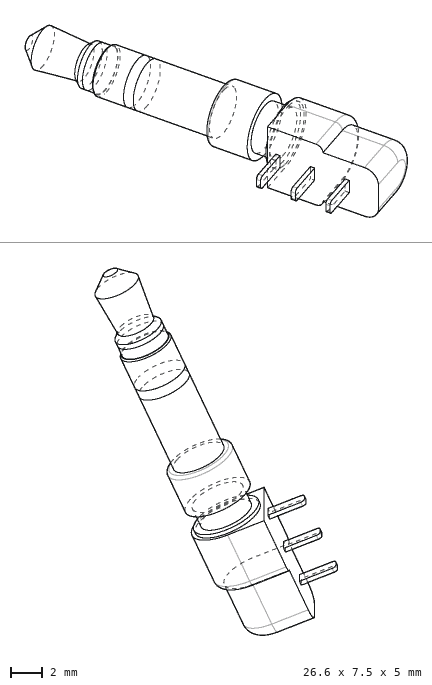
import cadquery as cq


nose_end = 1.0
tip_neck_end = 4.0
tip_shoulder_end = 4.4
tip_end = 4.75
front_insulator_end = 5.5
ring_end = 7.8
rear_insulator_end = 8.5
collar_start = 14.0
collar_end = 17.0
flange_start = 18.35
plug_end = 18.6

nose_radius = 0.5
tip_radius = 1.5
neck_radius = 1.25
shoulder_radius = 1.6
barrel_radius = 1.75
collar_radius = 2.25
ring_chamfer = 0.1
collar_fillet = 0.2

front_block_length = 4.0
front_block_radius = 2.5
front_block_fillet = 0.5
rear_block_length = 4.0
rear_block_radius = 2.0
rear_block_fillet = 1.0
board_face_y = -2.5

pin_count = 3
pin_pitch = 2.5
first_pin_offset = 0.75
pin_thickness = 0.3
pin_width = 1.0
pin_length = 2.5
pin_corner_radius = 0.25


def cylinder(start, end, radius):
    """Cylinder on the plug axis between two X stations."""
    return cq.Workplane("YZ", origin=(start, 0, 0)).circle(radius).extrude(end - start)


def make_tip():
    """Tip contact: a pointed nose, a tapering neck and a conical shoulder."""
    return (
        cq.Workplane("XY")
        .moveTo(0, 0)
        .lineTo(0, nose_radius)
        .lineTo(nose_end, tip_radius)
        .lineTo(tip_neck_end, neck_radius)
        .lineTo(tip_shoulder_end, shoulder_radius)
        .lineTo(tip_end, shoulder_radius)
        .lineTo(tip_end, 0)
        .close()
        .revolve(360, (0, 0, 0), (1, 0, 0))
    )


def make_ring():
    """Ring contact, chamfered on its front edge."""
    return cylinder(front_insulator_end, ring_end, barrel_radius).faces("<X").chamfer(ring_chamfer)


def make_sleeve():
    """Sleeve contact with a round-edged collar and a thin flange against the housing."""
    barrel = cylinder(rear_insulator_end, plug_end, barrel_radius)
    collar = cylinder(collar_start, collar_end, collar_radius).faces("<X").edges().fillet(collar_fillet)
    flange = cylinder(flange_start, plug_end, collar_radius)
    return barrel.union(collar).union(flange)


def d_block(start, length, radius, end_fillet):
    """Block with a half-round back and a flat board face, rounded at its far end."""
    block = (
        cq.Workplane("YZ", origin=(start, 0, 0))
        .moveTo(board_face_y, -radius)
        .lineTo(0, -radius)
        .threePointArc((radius, 0), (0, radius))
        .lineTo(board_face_y, radius)
        .close()
        .extrude(length)
    )
    return block.faces(">X").edges("not <Y").fillet(end_fillet)


def make_pin(center_x):
    """Flat terminal pin standing out from the board face, with rounded end corners."""
    return (
        cq.Workplane("XY")
        .box(pin_thickness, pin_length, pin_width)
        .faces("<Y")
        .edges("|X")
        .fillet(pin_corner_radius)
        .translate((center_x, board_face_y - pin_length / 2, 0))
    )


def make_housing():
    """Stepped housing carrying the row of terminal pins."""
    rear_block_start = plug_end + front_block_length
    body = d_block(plug_end, front_block_length, front_block_radius, front_block_fillet)
    body = body.union(d_block(rear_block_start, rear_block_length, rear_block_radius, rear_block_fillet))
    for index in range(pin_count):
        body = body.union(make_pin(plug_end + first_pin_offset + index * pin_pitch))
    return body


tip = make_tip()
front_insulator = cylinder(tip_end, front_insulator_end, shoulder_radius)
ring = make_ring()
rear_insulator = cylinder(ring_end, rear_insulator_end, barrel_radius)
sleeve = make_sleeve()
housing = make_housing()

result = cq.Compound.makeCompound([
    tip.val(),
    front_insulator.val(),
    ring.val(),
    rear_insulator.val(),
    sleeve.val(),
    housing.val(),
])